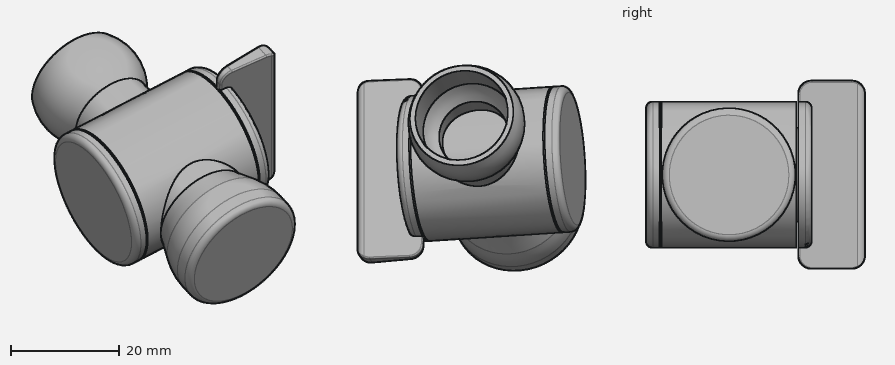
import cadquery as cq
import math


body_radius = 13.5
body_half_length = 12.44
cap_gap = 0.33
cap_thickness = 2.53
cap_fillet = 1.25
core_radius = 8.7
cap_inner_y = body_half_length + cap_gap
cap_outer_y = cap_inner_y + cap_thickness

wall = 1.6
ball_radius = 10.75
ball_center_x = -23.25
ball_face_x = -27.82
ball_neck_radius = 8.05
mouth_radius = 8.7
cavity_radius = ball_radius - wall
neck_bore_radius = ball_neck_radius - wall

socket_radius = 12.28
socket_center_x = 22.7
socket_face_x = 26.36
socket_fillet = 1.25
socket_neck_radius = 9.55
socket_neck_end_x = 13.54
socket_cone_end_x = 18.1

handle_half_height = 17.375
handle_tip_radius = 1.5
handle_root_half_width = 0.7
handle_tip_y = 25.14
handle_corner_radius = 2.5
handle_edge_fillet = 0.3


def offset_on_circle(radius, other_leg):
    """Remaining leg of the right triangle whose hypotenuse is the circle radius."""
    return math.sqrt(radius**2 - other_leg**2)


def cylinder_along_y(radius, y_start, y_end):
    return cq.Workplane("XZ", origin=(0, y_start, 0)).circle(radius).extrude(y_start - y_end)


def revolve_about_x(profile):
    return profile.close().revolve(360, (0, 0, 0), (1, 0, 0))


def make_body():
    return cylinder_along_y(body_radius, -body_half_length, body_half_length)


def make_caps():
    """Two rounded end caps on a core that bridges the gaps between them and the body."""
    core = cylinder_along_y(core_radius, -cap_inner_y, cap_inner_y)
    back_cap = cylinder_along_y(body_radius, cap_inner_y, cap_outer_y)
    back_cap = back_cap.faces(">Y").edges().fillet(cap_fillet)
    front_cap = back_cap.mirror("XZ")
    return core.union(back_cap).union(front_cap)


def make_ball_end():
    face_radius = offset_on_circle(ball_radius, ball_face_x - ball_center_x)
    neck_start_x = ball_center_x + offset_on_circle(ball_radius, ball_neck_radius)
    outside = revolve_about_x(
        cq.Workplane("XY")
        .moveTo(ball_face_x, 0)
        .lineTo(ball_face_x, face_radius)
        .threePointArc((ball_center_x, ball_radius), (neck_start_x, ball_neck_radius))
        .lineTo(0, ball_neck_radius)
        .lineTo(0, 0)
    )
    return outside.cut(make_ball_bore())


def make_ball_bore():
    """Straight mouth, then a spherical narrowing concentric with the ball, then the neck bore."""
    mouth_end_x = ball_center_x + offset_on_circle(cavity_radius, mouth_radius)
    neck_bore_start_x = ball_center_x + offset_on_circle(cavity_radius, neck_bore_radius)
    mouth_angle = math.acos(mouth_radius / cavity_radius)
    neck_angle = math.acos(neck_bore_radius / cavity_radius)
    middle_angle = (mouth_angle + neck_angle) / 2
    arc_middle = (
        ball_center_x + cavity_radius * math.sin(middle_angle),
        cavity_radius * math.cos(middle_angle),
    )
    return revolve_about_x(
        cq.Workplane("XY")
        .moveTo(ball_face_x, 0)
        .lineTo(ball_face_x, mouth_radius)
        .lineTo(mouth_end_x, mouth_radius)
        .threePointArc(arc_middle, (neck_bore_start_x, neck_bore_radius))
        .lineTo(0, neck_bore_radius)
        .lineTo(0, 0)
    )


def make_socket_end():
    cone_end_radius = offset_on_circle(socket_radius, socket_cone_end_x - socket_center_x)
    arc_middle_x = (socket_cone_end_x + socket_center_x) / 2
    arc_middle_radius = offset_on_circle(socket_radius, arc_middle_x - socket_center_x)
    socket = revolve_about_x(
        cq.Workplane("XY")
        .lineTo(0, socket_neck_radius)
        .lineTo(socket_neck_end_x, socket_neck_radius)
        .lineTo(socket_cone_end_x, cone_end_radius)
        .threePointArc((arc_middle_x, arc_middle_radius), (socket_center_x, socket_radius))
        .lineTo(socket_face_x, socket_radius)
        .lineTo(socket_face_x, 0)
    )
    return socket.faces(">X").edges().fillet(socket_fillet)


def make_handle():
    round_start_y = handle_tip_y - handle_tip_radius
    section = (
        cq.Workplane("XY")
        .moveTo(-handle_root_half_width, cap_inner_y)
        .lineTo(-handle_tip_radius, round_start_y)
        .threePointArc((0, handle_tip_y), (handle_tip_radius, round_start_y))
        .lineTo(handle_root_half_width, cap_inner_y)
        .close()
        .extrude(handle_half_height, both=True)
    )
    depth = handle_tip_y - cap_inner_y
    outline = (
        cq.Workplane("XY")
        .box(2 * handle_tip_radius, depth, 2 * handle_half_height)
        .edges("|X")
        .fillet(handle_corner_radius)
        .translate((0, cap_inner_y + depth / 2, 0))
    )
    blade = section.intersect(outline)
    return blade.faces("<X or >X").edges("not(|Z and >Y)").fillet(handle_edge_fillet)


result = (
    make_ball_end()
    .union(make_socket_end())
    .union(make_body())
    .union(make_caps())
    .union(make_handle())
)